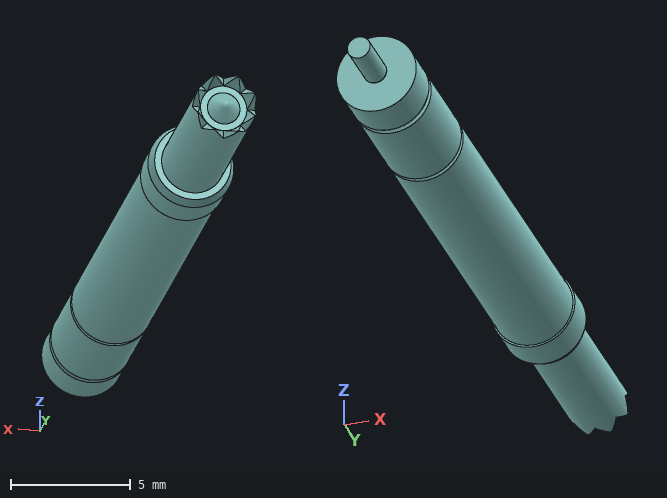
import cadquery as cq

total_length = 34.5

pin_radius = 0.5
neck_radius = 0.4
pin_front = 2.38

barrel_radius = 1.742
barrel_rear = 2.52

collar_radius = 1.83
collar_end_radius = 1.62
collar_rear = 24.95
collar_taper_start = 26.55
collar_front = 26.98

groove_depth = 0.12
joint_groove_rear = 4.35
joint_groove_bottom = 4.55
joint_groove_front = 4.65
crimp_groove_center = 9.1
crimp_groove_width = 0.25

plunger_radius = 1.328
tooth_count = 8
tooth_depth = 0.7
crown_root = total_length - tooth_depth
crown_rim_wall = 0.05
crown_root_wall = 0.35
notch_half_width = 0.5
point_radius = 0.7


def disc(radius, rear, front):
    """Cylinder about the Y axis between two Y positions."""
    return cq.Workplane("XZ", origin=(0, rear, 0)).circle(radius).extrude(rear - front)


def turned(points):
    """Solid swept about the Y axis by a closed outline of (radius, Y) points."""
    return cq.Workplane("XY").polyline(points).close().revolve(360, (0, 0), (0, 1))


def make_barrel():
    groove_radius = barrel_radius - groove_depth
    half_width = crimp_groove_width / 2
    return turned([
        (0, barrel_rear),
        (barrel_radius, barrel_rear),
        (barrel_radius, joint_groove_rear),
        (groove_radius, joint_groove_bottom),
        (barrel_radius, joint_groove_front),
        (barrel_radius, crimp_groove_center - half_width),
        (groove_radius, crimp_groove_center),
        (barrel_radius, crimp_groove_center + half_width),
        (barrel_radius, collar_rear),
        (0, collar_rear),
    ])


def make_notch(angle):
    """V-shaped cutter reaching from the axis out through the wall at the given angle."""
    outline = [(0, crown_root), (notch_half_width, total_length), (-notch_half_width, total_length)]
    wedge = cq.Workplane("XY").polyline(outline).close().extrude(2 * plunger_radius)
    return wedge.rotate((0, 0, 0), (0, 1, 0), angle)


def make_plunger():
    plunger = disc(plunger_radius, collar_front, total_length)
    cup = turned([
        (0, crown_root),
        (plunger_radius - crown_root_wall, crown_root),
        (plunger_radius - crown_rim_wall, total_length),
        (0, total_length),
    ])
    plunger = plunger.cut(cup)
    for i in range(tooth_count):
        plunger = plunger.cut(make_notch(i * 360 / tooth_count))
    center_point = turned([(0, crown_root), (point_radius, crown_root), (0, total_length)])
    return plunger.union(center_point)


pin = disc(pin_radius, 0, pin_front)
neck = disc(neck_radius, pin_front, barrel_rear)
collar = turned([
    (0, collar_rear),
    (collar_radius, collar_rear),
    (collar_radius, collar_taper_start),
    (collar_end_radius, collar_front),
    (0, collar_front),
])
result = pin.union(neck).union(make_barrel()).union(collar).union(make_plunger())